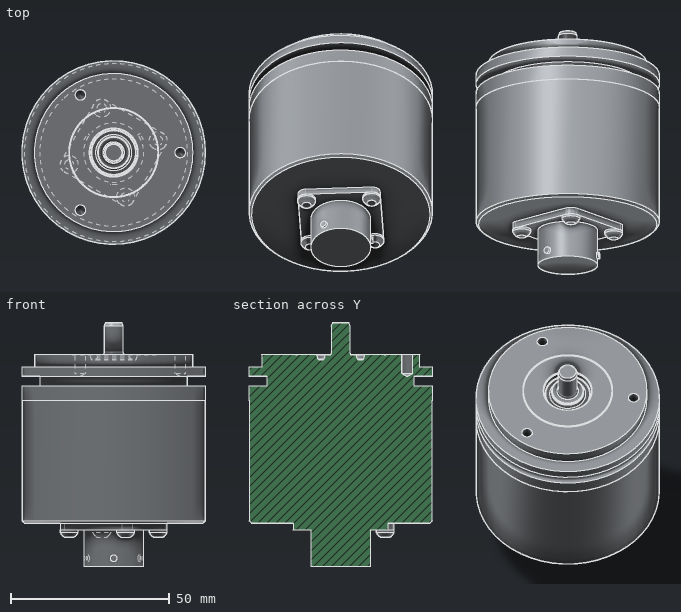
import cadquery as cq
import math


flange_face_radius = 25.0
outer_radius = 29.0
clamp_groove_radius = 23.3
housing_radius = 28.95
housing_chamfer = 0.8
spigot_bottom_z = -4.0
flange_bottom_z = -7.0
clamp_groove_bottom_z = -10.0
cap_bottom_z = -14.6
housing_bottom_z = -53.4

line_groove_outer_radius = 14.2
line_groove_inner_radius = 13.95
line_groove_depth = 0.2

recess_radius = 7.5
recess_floor_radius = 7.1
recess_rim_chamfer = 0.25
recess_floor_chamfer = 0.2
recess_depth = 1.75

hub_radius = 5.05
hub_edge_chamfer = 0.2
hub_top_z = -0.1
hub_cone_top_z = -0.9
hub_base_radius = 5.7

shaft_radius = 3.0
shaft_end_z = 10.0
shaft_chamfer_width = 0.4
shaft_chamfer_length = 1.0
flare_radius = 3.4
flare_top_z = 0.7

mounting_hole_count = 3
mounting_hole_radius = 1.65
mounting_circle_radius = 21.0
mounting_hole_depth = 6.0
drill_tip_angle = 118.0

base_side = 26.0
base_corner_radius = 2.5
base_thickness = 2.1
base_rotation = -30.0
screw_count = 4
screw_circle_radius = 14.55
screw_head_radius = 2.85
screw_tip_radius = 1.45
screw_dome_radius = 3.05
screw_rim_height = 0.7
screw_head_height = 2.3

barrel_radius = 9.45
barrel_bottom_z = -67.0
pin_count = 3
pin_start_angle = 30.0
pin_radius = 1.05
pin_tip_radius = 10.15
pin_z = -64.4

base_bottom_z = housing_bottom_z - base_thickness


def revolve_about_z(profile):
    """Close a profile drawn in the XZ plane and turn it fully about the Z axis."""
    return profile.close().revolve(360, (0, 0, 0), (0, 1, 0))


def polar_points(count, radius, start_angle):
    """Return evenly spaced (x, y) points on a circle."""
    angles = [math.radians(start_angle + index * 360 / count) for index in range(count)]
    return [(radius * math.cos(angle), radius * math.sin(angle)) for angle in angles]


def make_body():
    """Flange spigot, flange, clamp groove, cap ring and housing."""
    profile = (
        cq.Workplane("XZ")
        .moveTo(0, 0)
        .lineTo(flange_face_radius, 0)
        .lineTo(flange_face_radius, spigot_bottom_z)
        .lineTo(outer_radius, spigot_bottom_z)
        .lineTo(outer_radius, flange_bottom_z)
        .lineTo(clamp_groove_radius, flange_bottom_z)
        .lineTo(clamp_groove_radius, clamp_groove_bottom_z)
        .lineTo(outer_radius, clamp_groove_bottom_z)
        .lineTo(outer_radius, cap_bottom_z)
        .lineTo(housing_radius, cap_bottom_z)
        .lineTo(housing_radius, housing_bottom_z + housing_chamfer)
        .lineTo(housing_radius - housing_chamfer, housing_bottom_z)
        .lineTo(0, housing_bottom_z)
    )
    return revolve_about_z(profile)


def make_recess():
    """Central recess with a chamfered rim, a tapered wall and a chamfered floor corner."""
    profile = (
        cq.Workplane("XZ")
        .moveTo(0, 0)
        .lineTo(recess_radius + recess_rim_chamfer, 0)
        .lineTo(recess_radius, -recess_rim_chamfer)
        .lineTo(recess_floor_radius, recess_floor_chamfer - recess_depth)
        .lineTo(recess_floor_radius - recess_floor_chamfer, -recess_depth)
        .lineTo(0, -recess_depth)
    )
    return revolve_about_z(profile)


def make_line_groove():
    return (
        cq.Workplane("XY")
        .circle(line_groove_outer_radius)
        .circle(line_groove_inner_radius)
        .extrude(-line_groove_depth)
    )


def make_shaft_and_hub():
    """Bearing hub with the shaft rising from it through a concave flare."""
    profile = (
        cq.Workplane("XZ")
        .moveTo(0, shaft_end_z)
        .lineTo(shaft_radius - shaft_chamfer_width, shaft_end_z)
        .lineTo(shaft_radius, shaft_end_z - shaft_chamfer_length)
        .lineTo(shaft_radius, flare_top_z)
        .tangentArcPoint((flare_radius, hub_top_z), relative=False)
        .lineTo(hub_radius - hub_edge_chamfer, hub_top_z)
        .lineTo(hub_radius, hub_top_z - hub_edge_chamfer)
        .lineTo(hub_radius, hub_cone_top_z)
        .lineTo(hub_base_radius, -recess_depth)
        .lineTo(0, -recess_depth)
    )
    return revolve_about_z(profile)


def make_mounting_holes():
    """Blind drillings with conical tips, the first one on the +X axis."""
    tip_depth = mounting_hole_radius / math.tan(math.radians(drill_tip_angle / 2))
    profile = (
        cq.Workplane("XZ")
        .moveTo(0, 0)
        .lineTo(mounting_hole_radius, 0)
        .lineTo(mounting_hole_radius, -mounting_hole_depth)
        .lineTo(0, -mounting_hole_depth - tip_depth)
    )
    drilling = revolve_about_z(profile).val()
    points = polar_points(mounting_hole_count, mounting_circle_radius, 0)
    return cq.Workplane("XY").pushPoints(points).eachpoint(lambda place: drilling.moved(place))


def make_connector_base():
    return (
        cq.Workplane("XY")
        .workplane(offset=base_bottom_z)
        .rect(base_side, base_side)
        .extrude(base_thickness)
        .edges("|Z")
        .fillet(base_corner_radius)
        .rotate((0, 0, 0), (0, 0, 1), base_rotation)
    )


def make_screw_heads():
    """Rounded heads under the base corners, each with a short rim and a flat tip."""
    profile = (
        cq.Workplane("XZ")
        .moveTo(0, base_bottom_z)
        .lineTo(screw_head_radius, base_bottom_z)
        .lineTo(screw_head_radius, base_bottom_z - screw_rim_height)
        .radiusArc((screw_tip_radius, base_bottom_z - screw_head_height), screw_dome_radius)
        .lineTo(0, base_bottom_z - screw_head_height)
    )
    head = revolve_about_z(profile).val()
    points = polar_points(screw_count, screw_circle_radius, base_rotation + 180 / screw_count)
    return cq.Workplane("XY").pushPoints(points).eachpoint(lambda place: head.moved(place))


def make_barrel():
    """Connector barrel with radial bayonet pins, one of them pointing along -Y."""
    barrel = (
        cq.Workplane("XY")
        .workplane(offset=barrel_bottom_z)
        .circle(barrel_radius)
        .extrude(base_bottom_z - barrel_bottom_z)
    )
    pin = (
        cq.Workplane("YZ")
        .center(0, pin_z)
        .circle(pin_radius)
        .extrude(pin_tip_radius)
    )
    for index in range(pin_count):
        angle = pin_start_angle + index * 360 / pin_count
        barrel = barrel.union(pin.rotate((0, 0, 0), (0, 0, 1), angle))
    return barrel


result = (
    make_body()
    .cut(make_recess())
    .cut(make_line_groove())
    .cut(make_mounting_holes())
    .union(make_shaft_and_hub())
    .union(make_connector_base())
    .union(make_screw_heads())
    .union(make_barrel())
)